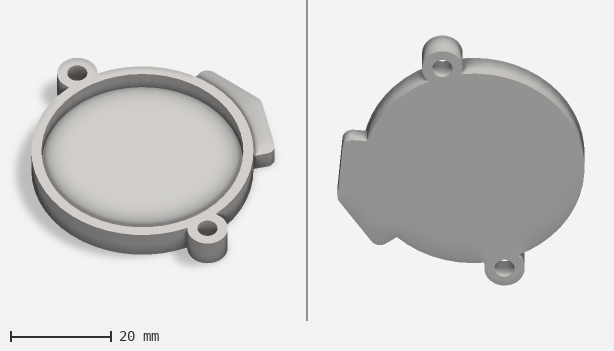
import cadquery as cq
import math

height = 6.0
rim_diameter = 44.0
wall = 2.0
floor_thickness = 2.0

ear_diameter = 8.0
ear_hole_diameter = 4.0
overall_length = 56.0
ear_offset = (overall_length - ear_diameter) / 2

overall_width = 49.75
tab_height = 4.0
tab_corner_radius = 2.0
arm_slope = math.radians(19.8)
arm_length = 11.2
arm_end_width = 4.5
peak_y = overall_width - rim_diameter / 2 - tab_corner_radius


def make_tray():
    pocket_diameter = rim_diameter - 2 * wall
    body = cq.Workplane("XY").circle(rim_diameter / 2).extrude(height)
    pocket = (
        cq.Workplane("XY", origin=(0, 0, floor_thickness))
        .circle(pocket_diameter / 2)
        .extrude(height - floor_thickness)
    )
    return body, pocket


def make_ears(diameter):
    return (
        cq.Workplane("XY")
        .pushPoints([(-ear_offset, 0), (ear_offset, 0)])
        .circle(diameter / 2)
        .extrude(height)
    )


def tab_point(along, outward):
    """Point on the right arm, measured from the peak centre along the arm and square to it."""
    x = along * math.cos(arm_slope) + outward * math.sin(arm_slope)
    y = peak_y - along * math.sin(arm_slope) + outward * math.cos(arm_slope)
    return x, y


def mirrored(point):
    return -point[0], point[1]


def make_tab():
    r = tab_corner_radius
    diagonal = r * math.sqrt(0.5)
    peak_side = tab_point(0, r)
    corner_start = tab_point(arm_length, r)
    corner_middle = tab_point(arm_length + diagonal, diagonal)
    corner_end = tab_point(arm_length + r, 0)
    foot = tab_point(arm_length + r, -arm_end_width)
    return (
        cq.Workplane("XY")
        .moveTo(*mirrored(peak_side))
        .threePointArc((0, peak_y + r), peak_side)
        .lineTo(*corner_start)
        .threePointArc(corner_middle, corner_end)
        .lineTo(*foot)
        .lineTo(*mirrored(foot))
        .lineTo(*mirrored(corner_end))
        .threePointArc(mirrored(corner_middle), mirrored(corner_start))
        .close()
        .extrude(tab_height)
    )


tray_body, tray_pocket = make_tray()
solid_body = tray_body.union(make_ears(ear_diameter)).union(make_tab())
result = solid_body.cut(tray_pocket).cut(make_ears(ear_hole_diameter))